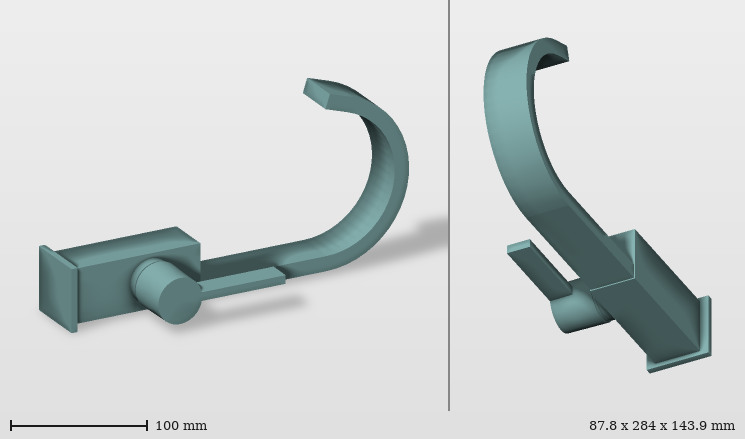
import cadquery as cq
import math

PLATE_SIDE = 50.5
PLATE_THICKNESS = 5.0
CENTRE_X = PLATE_SIDE / 2
CENTRE_Z = PLATE_SIDE / 2

HOUSING_WIDTH = 37.0
HOUSING_HEIGHT = 43.7
HOUSING_LENGTH = 105.5
HOUSING_END_Y = PLATE_THICKNESS + HOUSING_LENGTH
HOUSING_SIDE_X = CENTRE_X + HOUSING_WIDTH / 2

TOTAL_LENGTH = 284.0
SPOUT_WIDTH = 35.2
SPOUT_THICKNESS = 12.0
SPOUT_BOTTOM_Z = 4.3
SPOUT_OUTER_RADIUS = 68.5
SPOUT_INNER_RADIUS = SPOUT_OUTER_RADIUS - SPOUT_THICKNESS
SPOUT_ARC_Y = TOTAL_LENGTH - SPOUT_OUTER_RADIUS
SPOUT_ARC_Z = SPOUT_BOTTOM_Z + SPOUT_OUTER_RADIUS
TIP_ANGLE = math.radians(18)
TIP_LENGTH = 19.3

AXIS_Y = 70.1
COLLAR_RADIUS = 18.0
GROOVE_START_X = 51.5
GROOVE_WIDTH = 0.9
GROOVE_DEPTH = 0.5
KNOB_START_X = 54.0
KNOB_END_X = 87.8
KNOB_INNER_RADIUS = 18.7
KNOB_OUTER_RADIUS = 18.2

LEVER_WIDTH = 18.7
LEVER_THICKNESS = 6.8
LEVER_END_Y = 157.5


def make_plate():
    return cq.Workplane("XY").box(PLATE_SIDE, PLATE_THICKNESS, PLATE_SIDE, centered=False)


def make_housing():
    return (
        cq.Workplane("XY")
        .box(HOUSING_WIDTH, HOUSING_LENGTH, HOUSING_HEIGHT)
        .translate((CENTRE_X, PLATE_THICKNESS + HOUSING_LENGTH / 2, CENTRE_Z))
    )


def arc_point(radius, angle):
    """Point (Y, Z) on the spout arc; the angle runs from +Y towards +Z."""
    return (
        SPOUT_ARC_Y + radius * math.cos(angle),
        SPOUT_ARC_Z + radius * math.sin(angle),
    )


def tip_point(radius, angle):
    """Point (Y, Z) at the free end of the straight tip, tangent to the arc."""
    y, z = arc_point(radius, angle)
    return (y - TIP_LENGTH * math.sin(angle), z + TIP_LENGTH * math.cos(angle))


def make_spout():
    arc_end = math.pi / 2 - TIP_ANGLE
    return (
        cq.Workplane("YZ")
        .workplane(offset=CENTRE_X)
        .moveTo(HOUSING_END_Y, SPOUT_BOTTOM_Z)
        .lineTo(SPOUT_ARC_Y, SPOUT_BOTTOM_Z)
        .threePointArc(arc_point(SPOUT_OUTER_RADIUS, 0), arc_point(SPOUT_OUTER_RADIUS, arc_end))
        .lineTo(*tip_point(SPOUT_OUTER_RADIUS, arc_end))
        .lineTo(*tip_point(SPOUT_INNER_RADIUS, arc_end))
        .lineTo(*arc_point(SPOUT_INNER_RADIUS, arc_end))
        .threePointArc(
            arc_point(SPOUT_INNER_RADIUS, 0),
            arc_point(SPOUT_INNER_RADIUS, -math.pi / 2),
        )
        .lineTo(HOUSING_END_Y, SPOUT_BOTTOM_Z + SPOUT_THICKNESS)
        .close()
        .extrude(SPOUT_WIDTH / 2, both=True)
    )


def make_disc(radius, start_x, end_x):
    """Cylinder about the handle axis."""
    return (
        cq.Workplane("YZ", origin=(start_x, AXIS_Y, CENTRE_Z))
        .circle(radius)
        .extrude(end_x - start_x)
    )


def make_collar():
    collar = make_disc(COLLAR_RADIUS, HOUSING_SIDE_X, KNOB_START_X)
    groove_end_x = GROOVE_START_X + GROOVE_WIDTH
    groove = make_disc(COLLAR_RADIUS, GROOVE_START_X, groove_end_x).cut(
        make_disc(COLLAR_RADIUS - GROOVE_DEPTH, GROOVE_START_X, groove_end_x)
    )
    return collar.cut(groove)


def make_handle():
    knob = (
        cq.Workplane("YZ", origin=(KNOB_START_X, AXIS_Y, CENTRE_Z))
        .circle(KNOB_INNER_RADIUS)
        .workplane(offset=KNOB_END_X - KNOB_START_X)
        .circle(KNOB_OUTER_RADIUS)
        .loft(ruled=True)
    )
    lever_length = LEVER_END_Y - AXIS_Y
    lever = (
        cq.Workplane("XY")
        .box(LEVER_WIDTH, lever_length, LEVER_THICKNESS)
        .translate((KNOB_END_X - LEVER_WIDTH / 2, AXIS_Y + lever_length / 2, CENTRE_Z))
    )
    return knob.union(lever)


plate = make_plate()
housing = make_housing()
spout = make_spout()
collar = make_collar()
handle = make_handle()

result = cq.Compound.makeCompound(
    [plate.val(), housing.val(), spout.val(), collar.val(), handle.val()]
)